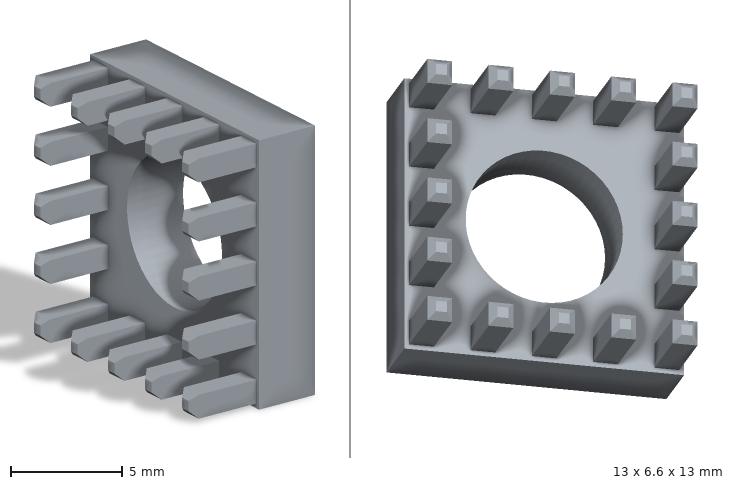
import cadquery as cq

body_side = 13.0
body_depth = 3.1
hole_diameter = 7.3

pins_per_side = 5
pin_pitch = 2.85
pin_width = 1.15
pin_length = 3.5

tip_width = 0.5
tip_length = 0.33

pin_shank_length = pin_length - tip_length


def make_body():
    """Square block from Y = 0 to Y = body_depth with its central hole."""
    outline = cq.Workplane("XZ").rect(body_side, body_side).circle(hole_diameter / 2)
    return outline.extrude(-body_depth)


def make_pin(x, z):
    """Square pin pointing to -Y, ending in a truncated pyramid."""
    shank = cq.Workplane("XZ").center(x, z).rect(pin_width, pin_width).extrude(pin_shank_length)
    tip = (
        cq.Workplane("XZ", origin=(x, -pin_shank_length, z))
        .rect(pin_width, pin_width)
        .workplane(offset=tip_length)
        .rect(tip_width, tip_width)
        .loft(ruled=True)
    )
    return shank.union(tip)


def rim_positions():
    """Grid places on the outer ring of the pin grid."""
    last = pins_per_side - 1
    positions = []
    for column in range(pins_per_side):
        for row in range(pins_per_side):
            if column in (0, last) or row in (0, last):
                x = (column - last / 2) * pin_pitch
                z = (row - last / 2) * pin_pitch
                positions.append((x, z))
    return positions


result = make_body()
for pin_x, pin_z in rim_positions():
    result = result.union(make_pin(pin_x, pin_z))